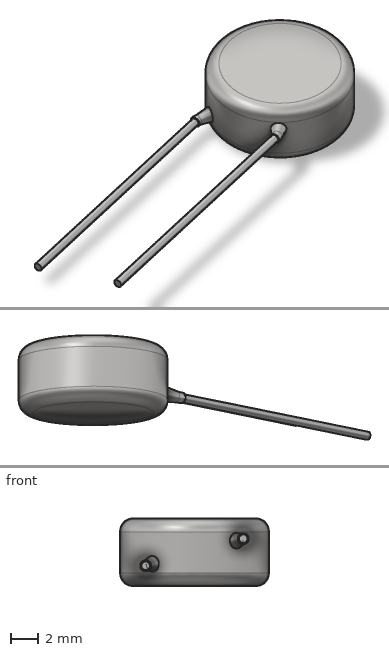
import cadquery as cq
import math

disc_radius = 5.5
disc_height = 5.0
disc_edge_radius = 1.0

lead_radius = 0.3
lead_offset_x = 3.6
lead_offset_z = 1.0
overall_length = 31.25
lead_end_y = disc_radius - overall_length

collar_end_y = -5.72
collar_radius = 0.4
collar_root_radius = 0.7
collar_cone_length = 1.55
bend_radius = 0.78
bend_angle = 28.0

HALF_TURNS = (0, 180)
Y_AXIS = ((0, 0, 0), (0, 1, 0))


def turned_about_y(shape, angle):
    return shape.rotate(*Y_AXIS, angle)


def make_disc():
    return (
        cq.Workplane("XY", origin=(0, 0, -disc_height / 2))
        .circle(disc_radius)
        .extrude(disc_height)
        .edges("%CIRCLE")
        .fillet(disc_edge_radius)
    )


def make_collar():
    """Collar of the low -X lead: an elbow off the lead axis, then a cone widening into the disc."""
    lead_end = cq.Vector(-lead_offset_x, collar_end_y, -lead_offset_z)
    inward = cq.Vector(lead_offset_x, 0, lead_offset_z).normalized()
    along = cq.Vector(0, 1, 0)

    elbow_plane = cq.Plane(origin=lead_end, xDir=inward, normal=along)
    elbow = (
        cq.Workplane(elbow_plane)
        .circle(collar_radius)
        .revolve(bend_angle, (bend_radius, -0.3, 0), (bend_radius, 0.3, 0))
    )

    angle = math.radians(bend_angle)
    cone_start = (
        lead_end
        + inward * (bend_radius * (1 - math.cos(angle)))
        + along * (bend_radius * math.sin(angle))
    )
    cone_direction = inward * math.sin(angle) + along * math.cos(angle)
    cone = cq.Solid.makeCone(
        collar_radius, collar_root_radius, collar_cone_length, cone_start, cone_direction
    )
    return elbow.union(cq.Workplane(cone))


def make_housing():
    """Disc and its two collars as one coated solid."""
    housing = make_disc()
    collar = make_collar()
    for angle in HALF_TURNS:
        housing = housing.union(turned_about_y(collar, angle))
    return housing


def make_lead(angle):
    """Straight wire from the end face of its collar to the free end."""
    lead_plane = cq.Plane(
        origin=(-lead_offset_x, collar_end_y, -lead_offset_z), xDir=(1, 0, 0), normal=(0, -1, 0)
    )
    lead = cq.Workplane(lead_plane).circle(lead_radius).extrude(collar_end_y - lead_end_y)
    return turned_about_y(lead, angle)


housing = make_housing()
leads = [make_lead(angle) for angle in HALF_TURNS]

result = cq.Compound.makeCompound([housing.val(), *[lead.val() for lead in leads]])